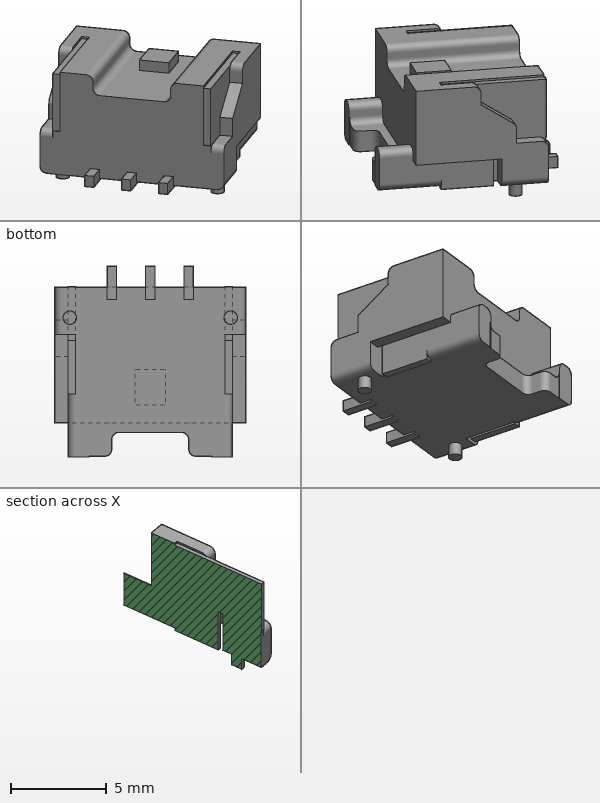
import cadquery as cq


overall_length = 10.0

housing_width = 10.0
housing_depth = 7.1
housing_height = 5.7
corner_radius = 0.38

channel_half_width = 2.11
channel_depth = 1.09
channel_floor = housing_height - channel_depth
key_width = 1.6
key_height = 0.58
key_front = 4.3
key_length = 1.86

core_half_width = 4.3
wing_thickness = housing_width / 2 - core_half_width
wing_foot_depth = 2.49
wing_underside = 1.59
step_height = 2.41
step_depth = 1.71
slope_bottom = 3.41
slope_top = 4.69
shoulder_depth = 3.62

rail_end = 8.9
floor_end = 8.86
rail_inner = 3.2
rail_height = 2.24
floor_height = rail_height - channel_depth
notch_half_width = 2.01
notch_front = 7.61

blade_thickness = 0.4
blade_front = -0.04
blade_rear = 5.59
blade_top = 5.59
blade_bottom = -0.12
blade_tail_front = 2.79

terminal_count = 3
terminal_pitch = 2.01
terminal_width = 0.5
terminal_top = 0.5
terminal_bottom = blade_bottom
terminal_tip = rail_end - overall_length
terminal_root = 0.66

peg_diameter = 0.7
peg_length = 0.7
peg_x = 4.21
peg_y = 1.6


def block(x_range, y_range, z_range):
    """Box spanning the given (low, high) ranges."""
    size = [high - low for low, high in (x_range, y_range, z_range)]
    box = cq.Workplane("XY").box(*size, centered=False)
    return box.translate((x_range[0], y_range[0], z_range[0]))


def side_plate(outline, inner_x, thickness):
    """Extrude a closed (y, z) outline toward +X, starting at inner_x."""
    return cq.Workplane("YZ").workplane(offset=inner_x).polyline(outline).close().extrude(thickness)


def mirrored(solid):
    """The solid together with its mirror image on the -X side."""
    return solid.union(solid.mirror("YZ"))


def round_edges(solid, direction, points):
    """Round the edges that run along direction (X, Y or Z) and pass nearest to the points."""
    for point in points:
        edge = cq.selectors.NearestToPointSelector(point)
        solid = solid.edges("|" + direction).edges(edge).fillet(corner_radius)
    return solid


def make_core():
    """Housing between the wings, with a rounded channel along its top and rounded lower edges."""
    core = block((-core_half_width, core_half_width), (0, housing_depth), (0, housing_height))
    channel = block(
        (-channel_half_width, channel_half_width), (0, housing_depth), (channel_floor, housing_height)
    )
    middle = housing_depth / 2
    rounded = [
        (side * channel_half_width, middle, z) for side in (-1, 1) for z in (channel_floor, housing_height)
    ]
    rounded += [(side * core_half_width, middle, 0) for side in (-1, 1)]
    return round_edges(core.cut(channel), "Y", rounded)


def make_wing(round_slope):
    """Wing on the +X side; round_slope also rounds the lower end of its slope."""
    outline = [
        (0, 0),
        (wing_foot_depth, 0),
        (wing_foot_depth, wing_underside),
        (housing_depth, wing_underside),
        (housing_depth, housing_height),
        (shoulder_depth, housing_height),
        (shoulder_depth, slope_top),
        (step_depth, slope_bottom),
        (step_depth, step_height),
        (0, step_height),
    ]
    wing = side_plate(outline, core_half_width, wing_thickness)
    middle = core_half_width + wing_thickness / 2
    rounded = [(middle, 0, step_height), (middle, shoulder_depth, housing_height)]
    if round_slope:
        rounded.append((middle, step_depth, slope_bottom))
    wing = round_edges(wing, "X", rounded)
    return round_edges(wing, "Y", [(housing_width / 2, wing_foot_depth / 2, 0)])


def make_extension():
    """Notched floor behind the housing with a rounded rail on each side."""
    floor = block((-rail_inner, rail_inner), (housing_depth, floor_end), (0, floor_height))
    notch = block((-notch_half_width, notch_half_width), (notch_front, floor_end), (0, floor_height))
    notch_corners = [
        (side * notch_half_width, y, floor_height / 2) for side in (-1, 1) for y in (notch_front, floor_end)
    ]
    floor = round_edges(floor.cut(notch), "Z", notch_corners)

    middle = (housing_depth + rail_end) / 2
    rail = block((rail_inner, core_half_width), (housing_depth, rail_end), (0, rail_height))
    rail_corners = [
        (rail_inner, middle, rail_height),
        (core_half_width, middle, rail_height),
        (core_half_width, middle, 0),
    ]
    rail = round_edges(rail, "Y", rail_corners)

    fillet_x = rail_inner - corner_radius
    fillet_z = floor_height + corner_radius
    cove = block((fillet_x, rail_inner), (housing_depth, floor_end), (floor_height, fillet_z))
    cove_cutter = (
        cq.Workplane("XZ", origin=(fillet_x, floor_end, fillet_z))
        .circle(corner_radius)
        .extrude(floor_end - housing_depth)
    )
    return floor.union(mirrored(rail.union(cove.cut(cove_cutter))))


def make_blade_slot():
    """Slot on the +X side: open to the front above the step, and to the underside below it."""
    outline = [
        (0, step_height),
        (wing_foot_depth, step_height),
        (wing_foot_depth, 0),
        (blade_rear, 0),
        (blade_rear, housing_height),
        (0, housing_height),
    ]
    return side_plate(outline, core_half_width - blade_thickness, blade_thickness)


def make_blade():
    """L-shaped blade on the +X side with a tail reaching below the housing."""
    outline = [
        (blade_front, step_height),
        (blade_tail_front, step_height),
        (blade_tail_front, blade_bottom),
        (blade_rear, blade_bottom),
        (blade_rear, blade_top),
        (blade_front, blade_top),
    ]
    return side_plate(outline, core_half_width - blade_thickness, blade_thickness)


def make_key():
    return block(
        (-key_width / 2, key_width / 2),
        (key_front, key_front + key_length),
        (channel_floor, channel_floor + key_height),
    )


def make_terminal(center_x):
    half = terminal_width / 2
    return block(
        (center_x - half, center_x + half),
        (terminal_tip, terminal_root),
        (terminal_bottom, terminal_top),
    )


def make_peg():
    return cq.Workplane("XY").center(peg_x, peg_y).circle(peg_diameter / 2).extrude(-peg_length)


body = make_core().union(make_extension())

foot_fill = block((core_half_width - corner_radius, core_half_width), (0, wing_foot_depth), (0, corner_radius))
body = body.union(mirrored(foot_fill))

body = body.cut(mirrored(make_blade_slot()))

body = body.union(make_wing(round_slope=False))
body = body.union(make_wing(round_slope=True).mirror("YZ"))

body = body.union(mirrored(make_blade()))
body = body.union(make_key())
body = body.union(mirrored(make_peg()))
for index in range(terminal_count):
    body = body.union(make_terminal((index - (terminal_count - 1) / 2) * terminal_pitch))

result = body